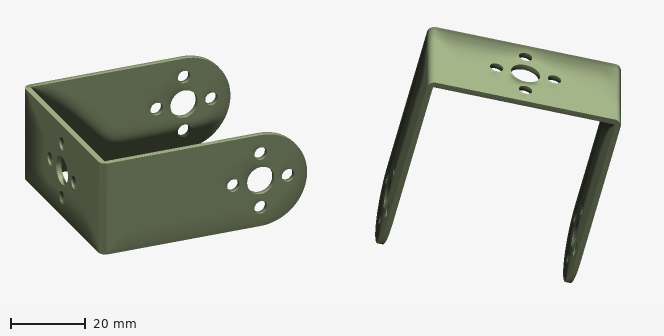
import cadquery as cq

width = 53.4
depth = 60.0
height = 27.0
thickness = 1.55

bend_outer_radius = 2.0

center_hole_diameter = 8.0
screw_hole_diameter = 3.65
screw_circle_radius = 8.0
screw_count = 4

arm_hole_y = depth - height / 2


def bent_channel():
    """U-shaped sheet: web on the XZ plane, arms running along +Y."""
    outer = (
        cq.Workplane("XY")
        .box(width, depth, height, centered=(True, False, True))
        .edges("|Z and <Y")
        .fillet(bend_outer_radius)
    )
    inner = (
        cq.Workplane("XY")
        .box(width - 2 * thickness, depth, height, centered=(True, False, True))
        .translate((0, thickness, 0))
    )
    return outer.cut(inner)


def arm_envelope():
    """Side outline with round arm ends, extruded across the full width."""
    return (
        cq.Workplane("YZ")
        .moveTo(0, -height / 2)
        .lineTo(arm_hole_y, -height / 2)
        .threePointArc((depth, 0), (arm_hole_y, height / 2))
        .lineTo(0, height / 2)
        .close()
        .extrude(width / 2, both=True)
    )


def hole_cutters(plane, length):
    """Center hole and its ring of screw holes, extruded along the plane normal."""
    center = plane.circle(center_hole_diameter / 2).extrude(length)
    screws = (
        plane.polarArray(screw_circle_radius, 0, 360, screw_count)
        .circle(screw_hole_diameter / 2)
        .extrude(length)
    )
    return center.union(screws)


web_holes = hole_cutters(cq.Workplane("XZ"), -thickness)
arm_holes = hole_cutters(cq.Workplane("YZ", origin=(-width / 2, arm_hole_y, 0)), width)

result = bent_channel().intersect(arm_envelope()).cut(web_holes).cut(arm_holes)